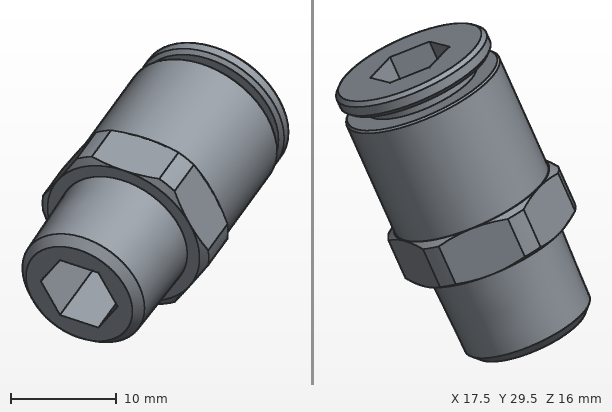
import cadquery as cq
import math


thread_length = 9.5
gauge_length = 4.5
gauge_diameter = 13.1
taper = 1 / 16
tip_face_diameter = 11.2
tip_chamfer = 0.9

hex_width = 16.0
hex_length = 5.0
hex_corner_diameter = 17.5
hex_chamfer_angle = 30.0

body_diameter = 15.8
body_length = 12.0
body_chamfer = 0.2

neck_diameter = 11.2
neck_length = 1.25
collar_diameter = 15.5
collar_length = 1.75
collar_chamfer = 0.4

bore_width = 7.0

hex_start = thread_length
body_start = hex_start + hex_length
neck_start = body_start + body_length
collar_start = neck_start + neck_length
total_length = collar_start + collar_length


def turned(profile):
    """Revolve a half section of (radius, Y) points, closed along the axis, around Y."""
    start = profile[0][1]
    end = profile[-1][1]
    outline = [(0, start)] + profile + [(0, end)]
    return cq.Workplane("XY").polyline(outline).close().revolve(360, (0, 0), (0, 1))


def chamfered_disc(diameter, start, length, chamfer_radial, chamfer_axial):
    """Disc with both rims chamfered."""
    radius = diameter / 2
    end = start + length
    return turned([
        (radius - chamfer_radial, start),
        (radius, start + chamfer_axial),
        (radius, end - chamfer_axial),
        (radius - chamfer_radial, end),
    ])


def hexagonal_bar(width, start, length):
    """Hexagonal prism along Y with two flats facing +Z and -Z."""
    across_corners = width / math.cos(math.radians(30))
    bar = cq.Workplane("XZ", origin=(0, start, 0)).polygon(6, across_corners)
    return bar.extrude(-length)


def thread_radius(position):
    return (gauge_diameter + (position - gauge_length) * taper) / 2


def make_thread():
    return turned([
        (tip_face_diameter / 2, 0),
        (thread_radius(tip_chamfer), tip_chamfer),
        (thread_radius(thread_length), thread_length),
    ])


def make_wrench_hex():
    chamfer_radial = (hex_corner_diameter - hex_width) / 2
    chamfer_axial = chamfer_radial * math.tan(math.radians(hex_chamfer_angle))
    envelope = chamfered_disc(hex_corner_diameter, hex_start, hex_length, chamfer_radial, chamfer_axial)
    return hexagonal_bar(hex_width, hex_start, hex_length).intersect(envelope)


def make_body():
    radius = body_diameter / 2
    return turned([
        (radius, body_start),
        (radius, neck_start - body_chamfer),
        (radius - body_chamfer, neck_start),
    ])


def make_neck():
    return turned([(neck_diameter / 2, neck_start), (neck_diameter / 2, collar_start)])


def make_collar():
    return chamfered_disc(collar_diameter, collar_start, collar_length, collar_chamfer, collar_chamfer)


result = make_thread()
for section in (make_wrench_hex(), make_body(), make_neck(), make_collar()):
    result = result.union(section)
result = result.cut(hexagonal_bar(bore_width, 0, total_length))